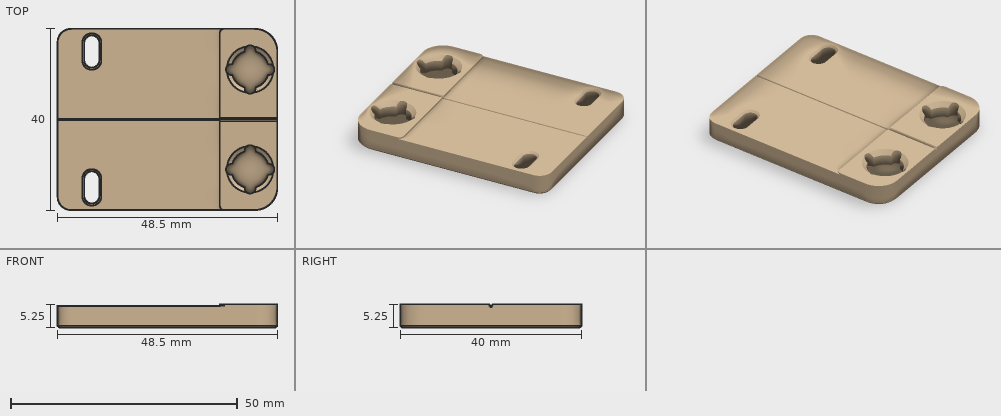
import cadquery as cq
import math

length = 48.5
width = 40.0
height = 5.25
left_corner_radius = 3.0
right_corner_radius = 5.0
bottom_chamfer = 0.5

pad_height = 0.4
pad_length = 12.7
pad_corner_radius = 1.0

groove_depth = 0.75
groove_angle = 60.0

slot_x = 7.55
slot_offset_y = 15.0
slot_width = 3.3
slot_length = 7.1
slot_chamfer = 0.5

pocket_from_end = 6.0
pocket_offset_y = 11.0
pocket_radius = 4.1
pocket_depth = 3.5
lead_in_depth = 1.0
lobe_radius = 1.2
lobe_count = 4

plate_height = height - pad_height
pad_x = length - pad_length


def make_plate():
    """Full-height plate, rounded at its corners and chamfered underneath."""
    plate = cq.Workplane("XY").box(length, width, height, centered=(False, True, False))
    plate = plate.edges("|Z and <X").fillet(left_corner_radius)
    plate = plate.edges("|Z and >X").fillet(right_corner_radius)
    return plate.faces("<Z").edges().chamfer(bottom_chamfer)


def make_step():
    """Material above the lower surface, leaving the pad with rounded inner corners."""
    layer = cq.Workplane("XY", origin=(0, 0, plate_height)).box(
        length, width, pad_height, centered=(False, True, False)
    )
    pad = cq.Workplane("XY", origin=(pad_x, 0, plate_height)).box(
        pad_length, width, pad_height, centered=(False, True, False)
    )
    pad = pad.edges("|Z and <X").fillet(pad_corner_radius)
    return layer.cut(pad)


def make_groove():
    half_width = groove_depth * math.tan(math.radians(groove_angle / 2))
    return (
        cq.Workplane("YZ")
        .moveTo(-half_width, height)
        .lineTo(0, height - groove_depth)
        .lineTo(half_width, height)
        .close()
        .extrude(length)
    )


def make_slot(y):
    through = (
        cq.Workplane("XY", origin=(slot_x, y, 0))
        .slot2D(slot_length, slot_width, 90)
        .extrude(plate_height)
    )
    mouth = (
        cq.Workplane("XY", origin=(slot_x, y, plate_height))
        .slot2D(slot_length + 2 * slot_chamfer, slot_width + 2 * slot_chamfer, 90)
        .extrude(-slot_chamfer, taper=45)
    )
    return through.union(mouth)


def make_pocket(y):
    floor = cq.Workplane("XY", origin=(length - pocket_from_end, y, height - pocket_depth))
    pocket = floor.circle(pocket_radius).extrude(pocket_depth)
    lobes = (
        floor.polarArray(pocket_radius, 0, 360, lobe_count)
        .circle(lobe_radius)
        .extrude(pocket_depth)
    )
    lead_in = (
        floor.workplane(offset=pocket_depth)
        .circle(pocket_radius + lead_in_depth)
        .extrude(-lead_in_depth, taper=45)
    )
    return pocket.union(lobes).union(lead_in)


result = make_plate().cut(make_step()).cut(make_groove())
for side in (-1, 1):
    result = result.cut(make_slot(side * slot_offset_y))
    result = result.cut(make_pocket(side * pocket_offset_y))